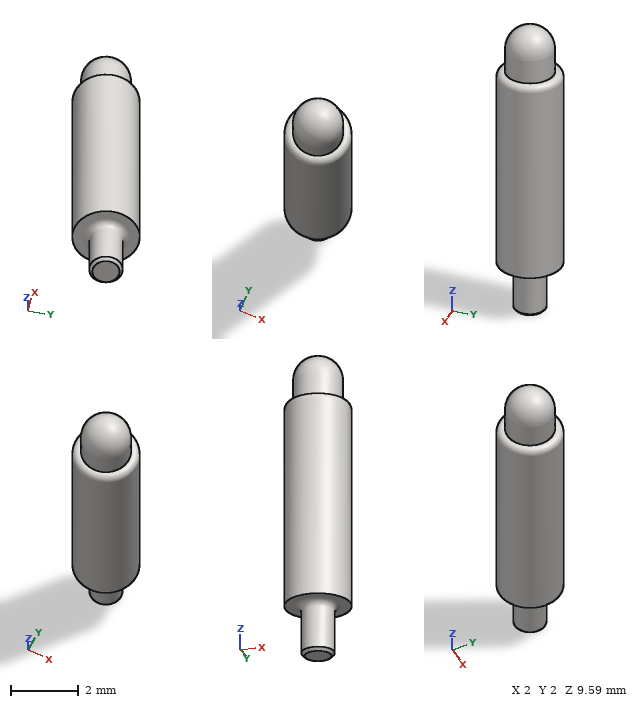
import math

import cadquery as cq

total_length = 9.59
barrel_diameter = 2.0
plunger_diameter = 1.5
tail_diameter = 1.0
tail_length = 1.6
plunger_straight_length = 0.75
rim_radius = 0.2
tail_root_radius = 0.2
tail_chamfer = 0.1

barrel_radius = barrel_diameter / 2
plunger_radius = plunger_diameter / 2
tail_radius = tail_diameter / 2
rim_top_z = total_length - plunger_radius - plunger_straight_length
dome_base_z = rim_top_z + plunger_straight_length

rim_crest_radius = barrel_radius - rim_radius
rim_inner_run = rim_crest_radius - plunger_radius
plunger_base_z = rim_top_z - rim_radius + math.sqrt(rim_radius**2 - rim_inner_run**2)


def revolve_about_z(half_profile):
    """Turn a closed radius-height profile about the Z axis."""
    return half_profile.revolve(360, (0, 0, 0), (0, 1, 0))


def make_barrel():
    """Barrel with a rolled rim and a solder tail below, tail tip at Z = 0."""
    profile = (
        cq.Workplane("XZ")
        .lineTo(tail_radius - tail_chamfer, 0)
        .lineTo(tail_radius, tail_chamfer)
        .lineTo(tail_radius, tail_length - tail_root_radius)
        .radiusArc((tail_radius + tail_root_radius, tail_length), tail_root_radius)
        .lineTo(barrel_radius, tail_length)
        .lineTo(barrel_radius, rim_top_z - rim_radius)
        .radiusArc((plunger_radius, plunger_base_z), -rim_radius)
        .lineTo(0, plunger_base_z)
        .close()
    )
    return revolve_about_z(profile)


def make_plunger():
    """Cylindrical contact with a hemispherical tip, standing inside the barrel rim."""
    profile = (
        cq.Workplane("XZ")
        .moveTo(0, plunger_base_z)
        .lineTo(plunger_radius, plunger_base_z)
        .lineTo(plunger_radius, dome_base_z)
        .radiusArc((0, total_length), -plunger_radius)
        .close()
    )
    return revolve_about_z(profile)


barrel = make_barrel()
plunger = make_plunger()

result = cq.Compound.makeCompound([barrel.val(), plunger.val()])